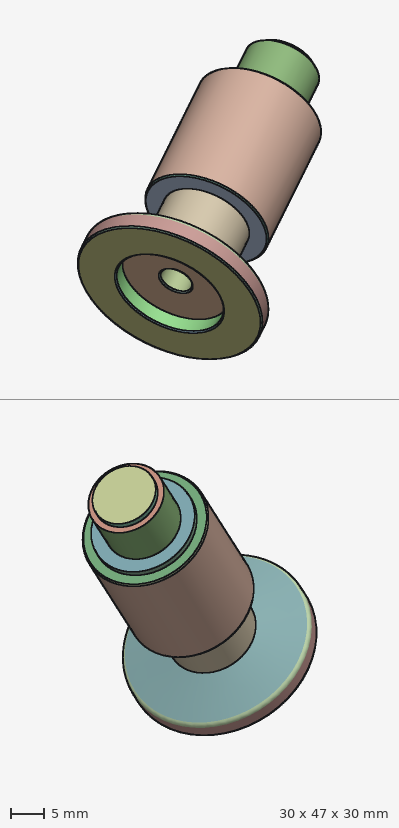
import cadquery as cq
import math

overall_length = 47.0
sleeve_start = 15.0
sleeve_end = 37.0
collar_end = 38.0
tip_length = 1.0

flange_radius = 15.0
stem_radius = 7.0
sleeve_radius = 10.0
collar_radius = 8.22
stub_radius = 6.0
tip_radius = 5.05

cone_end = 5.2
cone_angle = 15.0
rim_fillet = 0.7

recess_radius = 8.65
recess_depth = 2.6
hole_radius = 2.55
hole_depth = 9.4

sleeve_chamfer = 0.25
face_chamfer = 0.25


def cylinder(radius, start, end):
    """Cylinder about the Y axis from y = start to y = end."""
    plane = cq.Plane(origin=(0, start, 0), xDir=(1, 0, 0), normal=(0, 1, 0))
    return cq.Workplane(plane).circle(radius).extrude(end - start)


def flange_disc():
    """Disc with a conical back, a rounded rim and a chamfered front edge."""
    rim_height = cone_end - (flange_radius - stem_radius) * math.tan(math.radians(cone_angle))
    disc = (
        cq.Workplane("XY")
        .polyline([
            (0, 0),
            (flange_radius, 0),
            (flange_radius, rim_height),
            (stem_radius, cone_end),
            (0, cone_end),
        ])
        .close()
        .revolve(360, (0, 0, 0), (0, 1, 0))
    )
    disc = disc.faces("%CONE").edges(cq.selectors.RadiusNthSelector(-1)).fillet(rim_fillet)
    return disc.faces("<Y").edges().chamfer(face_chamfer)


def chamfered_bore(radius, start, end):
    """Cutting tool for a bore from y = start to y = end with a chamfered mouth."""
    return (
        cq.Workplane("XY")
        .polyline([
            (0, start),
            (radius + face_chamfer, start),
            (radius, start + face_chamfer),
            (radius, end),
            (0, end),
        ])
        .close()
        .revolve(360, (0, 0, 0), (0, 1, 0))
    )


def make_fitting():
    """Flange, stem and sleeve, with a recess and a blind hole in the flange face."""
    stem = cylinder(stem_radius, cone_end, sleeve_start)
    sleeve = cylinder(sleeve_radius, sleeve_start, sleeve_end)
    sleeve = sleeve.faces("<Y or >Y").edges().chamfer(sleeve_chamfer)
    body = flange_disc().union(stem).union(sleeve)
    body = body.cut(chamfered_bore(recess_radius, 0, recess_depth))
    return body.cut(chamfered_bore(hole_radius, recess_depth, recess_depth + hole_depth))


def make_plug():
    """Collar, stub and stepped tip, seated on the back face of the sleeve."""
    tip_start = overall_length - tip_length
    collar = cylinder(collar_radius, sleeve_end, collar_end)
    stub = cylinder(stub_radius, collar_end, tip_start)
    tip = cylinder(tip_radius, tip_start, overall_length)
    return collar.union(stub).union(tip)


fitting = make_fitting()
plug = make_plug()
result = cq.Compound.makeCompound([fitting.val(), plug.val()])